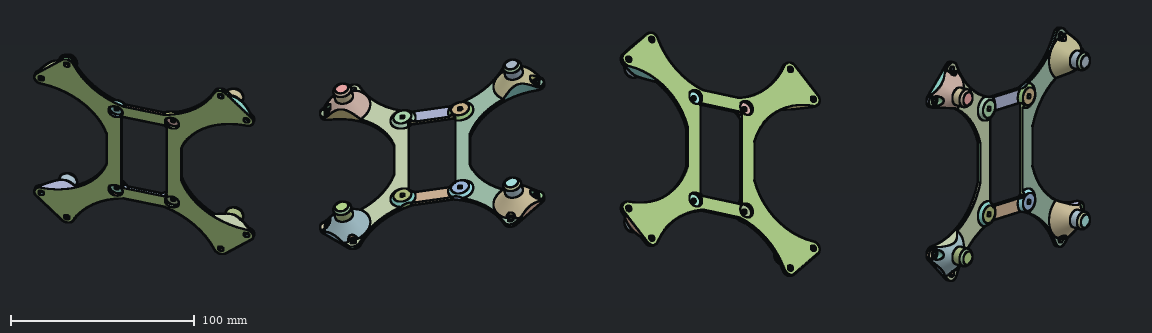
import cadquery as cq
import math

plate_thickness = 2.0
total_height = 17.0

boss_x = 16.0
boss_z = 30.0
boss_radius = 5.0
window_inset = 3.0
frame_half_x = boss_x + boss_radius
frame_half_z = boss_z + boss_radius
window_half_x = boss_x - window_inset
window_half_z = boss_z - window_inset

boss_height = 4.0
boss_base_radius = boss_radius + boss_height - plate_thickness
recess_diameter = 8.0
recess_depth = 2.0
boss_hole_diameter = 2.3

ear_radius = 4.0
ear_diagonal_radius = 72.0
ear_spacing = 20.5
screw_hole_diameter = 3.1
screw_head_diameter = 5.6
ear_far = (ear_diagonal_radius + ear_spacing / 2.0) / math.sqrt(2.0)
ear_near = (ear_diagonal_radius - ear_spacing / 2.0) / math.sqrt(2.0)

side_bite_offset = 59.0
end_bite_offset = 77.0
side_bite_radius = math.hypot(ear_far - side_bite_offset, ear_near) - ear_radius
end_bite_radius = math.hypot(ear_near, end_bite_offset - ear_far) - ear_radius

foot_x = 47.15
foot_z = 45.25
pin_radius = 5.0
cone_top = 10.0
cone_base_radius = pin_radius + cone_top - plate_thickness
pin_chamfer_height = 1.7
pin_chamfer_width = 1.25


def four_corners(x, z):
    """The point (x, z) repeated in all four quadrants."""
    return [(sx * x, sz * z) for sx in (-1, 1) for sz in (-1, 1)]


def plane_at(y):
    """Sketch plane at depth y, facing +Y. Local x is -X, harmless because the part is symmetric."""
    return cq.Workplane(cq.Plane(origin=(0, y, 0), xDir=(-1, 0, 0), normal=(0, 1, 0)))


def box(half_x, half_z, height):
    return plane_at(0).rect(2 * half_x, 2 * half_z).extrude(height)


def cylinders(centres, radius, bottom, height):
    return plane_at(bottom).pushPoints(centres).circle(radius).extrude(height)


def revolved(profile, x, z):
    """Turn a (radius, y) profile about the Y direction and place it at (x, z)."""
    return cq.Workplane("XY").polyline(profile).close().revolve(360, (0, 0), (0, 1)).translate((x, 0, z))


def toward(start, end, distance):
    """Point at the given distance from start on the ray toward end."""
    length = math.dist(start, end)
    return tuple(p + (q - p) * distance / length for p, q in zip(start, end))


def arc_middle(centre, radius, start, end):
    """Middle of the shorter arc between two points of a circle."""
    chord_middle = ((start[0] + end[0]) / 2, (start[1] + end[1]) / 2)
    return toward(centre, chord_middle, radius)


ear_centres = four_corners(ear_far, ear_near) + four_corners(ear_near, ear_far)
boss_centres = four_corners(boss_x, boss_z)


def make_body(height):
    """Prism of the plate outline, without openings, built from one quadrant."""
    side_ear = (ear_far, ear_near)
    end_ear = (ear_near, ear_far)
    side_bite = (side_bite_offset, 0)
    end_bite = (0, end_bite_offset)
    side_start = (frame_half_x, math.sqrt(side_bite_radius**2 - (side_bite_offset - frame_half_x) ** 2))
    end_finish = (math.sqrt(end_bite_radius**2 - (end_bite_offset - frame_half_z) ** 2), frame_half_z)
    side_contact = toward(side_ear, side_bite, ear_radius)
    end_contact = toward(end_ear, end_bite, ear_radius)
    tip_shift = ear_radius / math.sqrt(2.0)
    side_tip = (ear_far + tip_shift, ear_near + tip_shift)
    end_tip = (ear_near + tip_shift, ear_far + tip_shift)

    quadrant = (
        plane_at(0)
        .lineTo(frame_half_x, 0)
        .lineTo(*side_start)
        .threePointArc(arc_middle(side_bite, side_bite_radius, side_start, side_contact), side_contact)
        .threePointArc(arc_middle(side_ear, ear_radius, side_contact, side_tip), side_tip)
        .lineTo(*end_tip)
        .threePointArc(arc_middle(end_ear, ear_radius, end_tip, end_contact), end_contact)
        .threePointArc(arc_middle(end_bite, end_bite_radius, end_contact, end_finish), end_finish)
        .lineTo(0, frame_half_z)
        .close()
        .extrude(height)
    )
    half = quadrant.union(quadrant.mirror("YZ"))
    return half.union(half.mirror("XY"))


def make_foot(x, z):
    profile = [
        (0, 0),
        (cone_base_radius, 0),
        (cone_base_radius, plate_thickness),
        (pin_radius, cone_top),
        (pin_radius, total_height - pin_chamfer_height),
        (pin_radius - pin_chamfer_width, total_height),
        (0, total_height),
    ]
    return revolved(profile, x, z)


def make_boss(x, z):
    profile = [
        (0, 0),
        (boss_base_radius, 0),
        (boss_base_radius, plate_thickness),
        (boss_radius, boss_height),
        (0, boss_height),
    ]
    return revolved(profile, x, z)


def make_window():
    """Central opening that stops at the boss cylinders, which round its corners."""
    opening = box(window_half_x, window_half_z, total_height)
    return opening.cut(cylinders(boss_centres, boss_radius, 0, total_height))


def cut_boss_holes(body):
    body = body.cut(cylinders(boss_centres, recess_diameter / 2, 0, recess_depth))
    return body.cut(cylinders(boss_centres, boss_hole_diameter / 2, 0, boss_height))


def cut_ear_holes(body):
    """Screw holes through the plate, with screw head clearance through the foot cones."""
    body = body.cut(cylinders(ear_centres, screw_hole_diameter / 2, 0, plate_thickness))
    clearance_height = total_height - plate_thickness
    return body.cut(cylinders(ear_centres, screw_head_diameter / 2, plate_thickness, clearance_height))


envelope = make_body(total_height)
result = make_body(plate_thickness)
for x, z in four_corners(foot_x, foot_z):
    result = result.union(make_foot(x, z).intersect(envelope))
for x, z in boss_centres:
    result = result.union(make_boss(x, z).intersect(envelope))
result = result.cut(make_window())
result = cut_boss_holes(result)
result = cut_ear_holes(result)